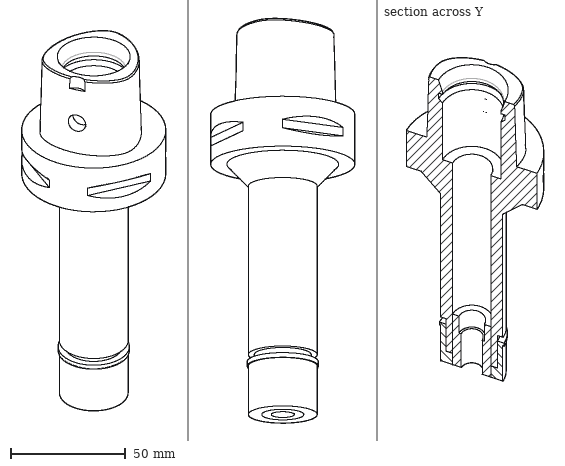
import cadquery as cq
import math

total_height = 173.0
shank_height = 37.7
flange_height = 22.5
cone_height = 9.9
nut_collar_height = 2.0
nut_skirt_height = 21.8
neck_gap = 3.1

flange_top = total_height - shank_height
flange_bottom = flange_top - flange_height
stem_top = flange_bottom - cone_height
nut_top = nut_skirt_height + nut_collar_height
stem_bottom = nut_top + neck_gap

flange_radius = 31.5
cone_radius = 24.4
stem_radius = 15.0
neck_radius = 12.5
nut_radius = stem_radius
nut_collar_radius = 15.5

shank_base_width = 44.3
shank_taper = 1 / 20
shank_lobe = 1.5
section_points = 48
shank_chamfer_height = 0.9
shank_chamfer_inset = 0.5

mouth_radius = 16.0
lip_radius = 14.0
groove_radius = 16.0
bore_radius = lip_radius
lip_depth = 6.5
lip_height = 1.9
groove_end_depth = 11.6
bore_chamfer_height = groove_radius - bore_radius
bore_depth = 48.5

notch_radius = 5.2
notch_axis_y = -23.4
notch_depth = 5.7
side_hole_diameter = 8.1
side_hole_below_top = 22.5
side_hole_floor_y = -14.5

slot_count = 4
slot_first_angle = 45.0
slot_floor_distance = 27.7
slot_floor_height = 3.8
slot_mouth_height = 8.0
slot_below_flange_top = 12.3

collet_radius = 9.2
collet_height = 31.5
collet_bore_radius = 5.0
collet_counterbore_radius = 6.0
collet_counterbore_depth = 10.4
nut_floor_height = 7.0


def lobed_section(width, z):
    """Closed three-lobed curve of constant width, one lobe pointing to +Y."""
    def point(angle):
        y = width / 2 * math.cos(angle) + shank_lobe * (2 * math.cos(2 * angle) - math.cos(4 * angle))
        x = width / 2 * math.sin(angle) - shank_lobe * (2 * math.sin(2 * angle) + math.sin(4 * angle))
        return cq.Vector(x, y, z)

    angles = [math.pi + 2 * math.pi * i / section_points for i in range(section_points)]
    outline = cq.Edge.makeSpline([point(angle) for angle in angles], periodic=True)
    return cq.Wire.assembleEdges([outline])


def disc(radius, bottom, top):
    return cq.Workplane("XY", origin=(0, 0, bottom)).circle(radius).extrude(top - bottom)


def polygon_shank():
    chamfer_bottom = total_height - shank_chamfer_height
    upper_width = shank_base_width - shank_taper * (shank_height - shank_chamfer_height)
    top_width = upper_width - 2 * shank_chamfer_inset
    base = lobed_section(shank_base_width, flange_top)
    upper = lobed_section(upper_width, chamfer_bottom)
    top = lobed_section(top_width, total_height)
    taper = cq.Solid.makeLoft([base, upper], True)
    chamfer = cq.Solid.makeLoft([upper, top], True)
    return cq.Workplane(taper).union(cq.Workplane(chamfer))


def round_stem():
    """Flange, cone, stem and neck, turned about Z."""
    return (
        cq.Workplane("XZ")
        .moveTo(0, flange_top)
        .lineTo(flange_radius, flange_top)
        .lineTo(flange_radius, flange_bottom)
        .lineTo(cone_radius, flange_bottom)
        .lineTo(stem_radius, stem_top)
        .lineTo(stem_radius, stem_bottom)
        .lineTo(neck_radius, stem_bottom)
        .lineTo(neck_radius, nut_floor_height)
        .lineTo(0, nut_floor_height)
        .close()
        .revolve(360, (0, 0, 0), (0, 1, 0))
    )


def holder_bore():
    """Conical mouth, lip, undercut groove, main bore and the narrow bore below it."""
    lip_top = total_height - lip_depth
    lip_bottom = lip_top - lip_height
    groove_bottom = total_height - groove_end_depth
    bore_floor = total_height - bore_depth
    return (
        cq.Workplane("XZ")
        .moveTo(0, total_height)
        .lineTo(mouth_radius, total_height)
        .lineTo(lip_radius, lip_top)
        .lineTo(lip_radius, lip_bottom)
        .lineTo(groove_radius, lip_bottom)
        .lineTo(groove_radius, groove_bottom)
        .lineTo(bore_radius, groove_bottom - bore_chamfer_height)
        .lineTo(bore_radius, bore_floor)
        .lineTo(collet_radius, bore_floor)
        .lineTo(collet_radius, nut_floor_height)
        .lineTo(0, nut_floor_height)
        .close()
        .revolve(360, (0, 0, 0), (0, 1, 0))
    )


def key_notch():
    return disc(notch_radius, total_height - notch_depth, total_height).translate((0, notch_axis_y, 0))


def side_hole():
    start = (0, side_hole_floor_y, total_height - side_hole_below_top)
    return cq.Workplane("XZ", origin=start).circle(side_hole_diameter / 2).extrude(shank_base_width)


def gripper_slot(angle):
    """Straight slot across the rim, flaring from its floor to the flange surface."""
    half_floor = slot_floor_height / 2
    half_mouth = slot_mouth_height / 2
    return (
        cq.Workplane("XZ")
        .moveTo(slot_floor_distance, -half_floor)
        .lineTo(flange_radius, -half_mouth)
        .lineTo(flange_radius, half_mouth)
        .lineTo(slot_floor_distance, half_floor)
        .close()
        .extrude(flange_radius, both=True)
        .rotate((0, 0, 0), (0, 0, 1), angle)
        .translate((0, 0, flange_top - slot_below_flange_top))
    )


def make_holder():
    holder = round_stem().union(polygon_shank())
    holder = holder.cut(holder_bore()).cut(key_notch()).cut(side_hole())
    for i in range(slot_count):
        holder = holder.cut(gripper_slot(slot_first_angle + i * 360 / slot_count))
    return holder


def make_nut():
    nut = disc(nut_radius, 0, nut_top).union(disc(nut_collar_radius, nut_skirt_height, nut_top))
    nut = nut.cut(disc(neck_radius, nut_floor_height, nut_top))
    return nut.cut(disc(collet_radius, 0, nut_floor_height))


def make_collet():
    collet = disc(collet_radius, 0, collet_height).cut(disc(collet_bore_radius, 0, collet_height))
    counterbore_floor = collet_height - collet_counterbore_depth
    return collet.cut(disc(collet_counterbore_radius, counterbore_floor, collet_height))


holder = make_holder()
nut = make_nut()
collet = make_collet()

result = cq.Compound.makeCompound([holder.solids().val(), nut.val(), collet.val()])